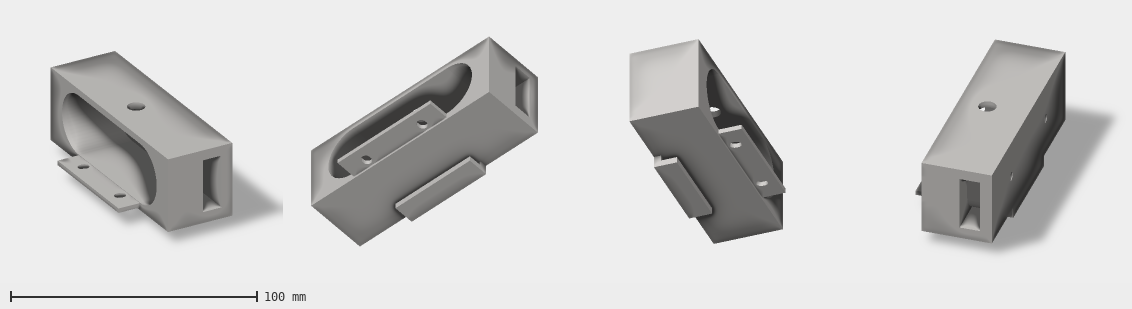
import cadquery as cq

BODY_LENGTH = 96
BODY_DEPTH = 30.0
BODY_HEIGHT = 33.0

BACK_WALL = 5.0
CAVITY_FLOOR_Z = 3.4
CAVITY_HEIGHT = 26.8
CAVITY_LENGTH = 77.5
CAVITY_DEPTH = BODY_DEPTH - BACK_WALL
CAVITY_MID_Z = CAVITY_FLOOR_Z + CAVITY_HEIGHT / 2

BACK_HOLE_DIAMETER = 3.7
BACK_HOLE_SPACING = 45.0

TOP_HOLE_DIAMETER = 7.5
TOP_HOLE_Y = 12.5

WINDOW_WIDTH = 8.7
WINDOW_SILL_Z = 5.0
WINDOW_HEIGHT = 2 * (CAVITY_MID_Z - WINDOW_SILL_Z)

PLATE_LENGTH = 50.0
PLATE_DEPTH = 10.0
PLATE_THICKNESS = 2.0
PLATE_BOTTOM_Z = 1.2
PLATE_SLOT_LENGTH = 5.0
PLATE_SLOT_WIDTH = 4.0
PLATE_SLOT_SPACING = 30.0
PLATE_SLOT_Y = -3.6

HOOK_LENGTH = 40.1
HOOK_REACH = 10.0
HOOK_DROP = 5.0
HOOK_WEB = 3.2
HOOK_LIP = 2.6


def make_box(length, depth, height, y_front, z_bottom):
    """Box centred on X, from its front and bottom planes."""
    return (
        cq.Workplane("XY")
        .box(length, depth, height, centered=(True, False, False))
        .translate((0, y_front, z_bottom))
    )


def make_body():
    body = make_box(BODY_LENGTH, BODY_DEPTH, BODY_HEIGHT, 0, 0)
    cavity = (
        cq.Workplane("XZ", origin=(0, 0, CAVITY_MID_Z))
        .slot2D(CAVITY_LENGTH, CAVITY_HEIGHT)
        .extrude(-CAVITY_DEPTH)
    )
    back_holes = (
        cq.Workplane("XZ", origin=(0, 0, CAVITY_MID_Z))
        .rarray(BACK_HOLE_SPACING, 1, 2, 1)
        .circle(BACK_HOLE_DIAMETER / 2)
        .extrude(-BODY_DEPTH)
    )
    top_hole = (
        cq.Workplane("XY", origin=(0, TOP_HOLE_Y, CAVITY_MID_Z))
        .circle(TOP_HOLE_DIAMETER / 2)
        .extrude(BODY_HEIGHT - CAVITY_MID_Z)
    )
    window_start_x = (CAVITY_LENGTH - CAVITY_HEIGHT) / 2
    window = (
        cq.Workplane("XY")
        .box(BODY_LENGTH / 2 - window_start_x, WINDOW_WIDTH, WINDOW_HEIGHT, centered=False)
        .translate((window_start_x, CAVITY_DEPTH - WINDOW_WIDTH, WINDOW_SILL_Z))
    )
    return body.cut(cavity).cut(back_holes).cut(top_hole).cut(window)


def make_plate():
    plate = make_box(PLATE_LENGTH, PLATE_DEPTH, PLATE_THICKNESS, -PLATE_DEPTH, PLATE_BOTTOM_Z)
    slots = (
        cq.Workplane("XY", origin=(0, PLATE_SLOT_Y, PLATE_BOTTOM_Z))
        .rarray(PLATE_SLOT_SPACING, 1, 2, 1)
        .slot2D(PLATE_SLOT_LENGTH, PLATE_SLOT_WIDTH, 90)
        .extrude(PLATE_THICKNESS)
    )
    return plate.cut(slots)


def make_hook():
    web = make_box(HOOK_LENGTH, HOOK_WEB, HOOK_DROP, BODY_DEPTH - HOOK_WEB, -HOOK_DROP)
    lip = make_box(HOOK_LENGTH, HOOK_REACH, HOOK_LIP, BODY_DEPTH - HOOK_REACH, -HOOK_DROP)
    return web.union(lip)


result = make_body().union(make_plate()).union(make_hook())